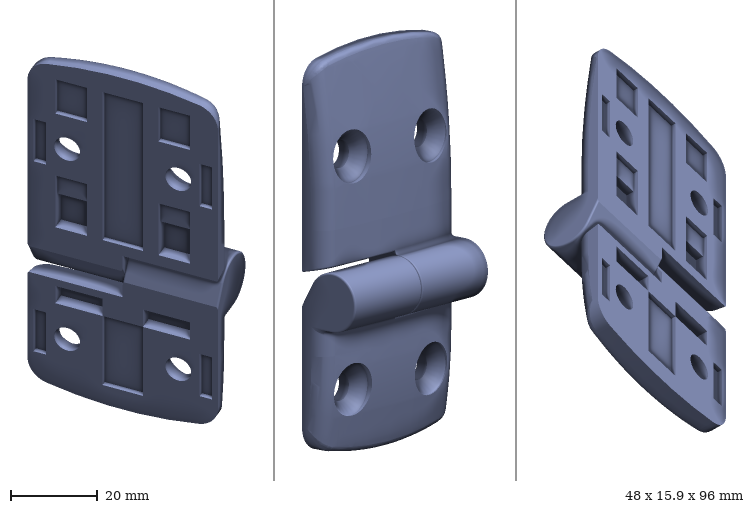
import cadquery as cq
import math


TOTAL_LENGTH = 96.0
TOTAL_DEPTH = 15.9

HALF_WIDTH = 24.0
UPPER_LENGTH = 57.5
LOWER_LENGTH = TOTAL_LENGTH - UPPER_LENGTH
END_ARC_RADIUS = 99.8
CORNER_RADIUS = 6.0
END_ROUND = 1.4

CROWN_HEIGHT = 7.9
CROWN_CROSS_RADIUS = 201.6
SIDE_ROUND = 4.0
UPPER_FLAT_END = 16.3
UPPER_SLOPE_RADIUS = 232.3
LOWER_FLAT_END = 13.4
LOWER_SLOPE_RADIUS = 126.7

KNUCKLE_RADIUS = 7.0
AXIS_Y = TOTAL_DEPTH - KNUCKLE_RADIUS
KNUCKLE_FOOT = 1.5
KNUCKLE_ROUND = 0.5
NECK_ROUND = 1.2

RECESS_START = 6.0
RECESS_DEGREES = 13.0
RECESS_ANGLE = math.radians(RECESS_DEGREES)
RECESS_ROUND = 0.5

HOLE_X = 14.0
UPPER_HOLE_Z = 32.5
LOWER_HOLE_Z = 22.5
HOLE_DIAMETER = 6.5
SINK_DIAMETER = 12.6
SINK_FLOOR = 3.0

SHALLOW = 1.2
DEEP = 3.3
SLOT_HALF_WIDTH = 5.1
WINDOW_INNER = 9.0
WINDOW_OUTER = 17.0
SIDE_SLOT_INNER = 19.4
SIDE_SLOT_OUTER = 22.5
SIDE_SLOT_LENGTH = 12.2
UPPER_SLOT_START = 9.0
UPPER_SLOT_END = 51.8
UPPER_WINDOW_START = 42.0
LOWER_WINDOW_END = 24.0
WINDOW_STEP = 18.0
LOWER_SLOT_START = 13.0
LOWER_SLOT_END = 32.9
SIDE_POCKET_START = 8.0

END_ZONE = 8.6
MARGIN = 0.1


def outline(length):
    """Plate outline: straight sides, an arched end and rounded corners."""
    arc_center_z = length - END_ARC_RADIUS
    corner_x = HALF_WIDTH - CORNER_RADIUS
    reach = END_ARC_RADIUS - CORNER_RADIUS
    corner_z = arc_center_z + math.sqrt(reach**2 - corner_x**2)
    lean = math.asin(corner_x / reach)
    tangent_x = END_ARC_RADIUS * math.sin(lean)
    tangent_z = arc_center_z + END_ARC_RADIUS * math.cos(lean)
    middle = (math.pi / 2 - lean) / 2
    middle_x = corner_x + CORNER_RADIUS * math.cos(middle)
    middle_z = corner_z + CORNER_RADIUS * math.sin(middle)
    return (
        cq.Workplane("XZ")
        .moveTo(-HALF_WIDTH, RECESS_START)
        .lineTo(HALF_WIDTH, RECESS_START)
        .lineTo(HALF_WIDTH, corner_z)
        .threePointArc((middle_x, middle_z), (tangent_x, tangent_z))
        .threePointArc((0, length), (-tangent_x, tangent_z))
        .threePointArc((-middle_x, middle_z), (-HALF_WIDTH, corner_z))
        .close()
    )


def crown_section(z):
    """Cross-section of the crowned plate at height z, with its sides rounded over."""
    center_y = CROWN_HEIGHT - CROWN_CROSS_RADIUS
    round_x = HALF_WIDTH - SIDE_ROUND
    reach = CROWN_CROSS_RADIUS - SIDE_ROUND
    round_y = center_y + math.sqrt(reach**2 - round_x**2)
    lean = math.asin(round_x / reach)
    tangent_x = CROWN_CROSS_RADIUS * math.sin(lean)
    tangent_y = center_y + CROWN_CROSS_RADIUS * math.cos(lean)
    middle = (math.pi / 2 - lean) / 2
    middle_x = round_x + SIDE_ROUND * math.cos(middle)
    middle_y = round_y + SIDE_ROUND * math.sin(middle)
    return (
        cq.Workplane("XY", origin=(0, 0, z))
        .moveTo(-HALF_WIDTH, -CROWN_HEIGHT)
        .lineTo(HALF_WIDTH, -CROWN_HEIGHT)
        .lineTo(HALF_WIDTH, round_y)
        .threePointArc((middle_x, middle_y), (tangent_x, tangent_y))
        .threePointArc((0, CROWN_HEIGHT), (-tangent_x, tangent_y))
        .threePointArc((-middle_x, middle_y), (-HALF_WIDTH, round_y))
        .close()
    )


def plate(length, flat_end, slope_radius):
    """Plate with a crowned front that is level near the knuckle and curves down to a rounded end."""
    turn_y = CROWN_HEIGHT - slope_radius
    turn = math.degrees(math.atan((length - flat_end) / -turn_y))
    straight = crown_section(0).extrude(flat_end)
    sloping = crown_section(flat_end).revolve(turn, (0, turn_y, 0), (1, turn_y, 0))
    body = outline(length).extrude(-CROWN_HEIGHT).intersect(straight.union(sloping))
    end_zone = cq.selectors.BoxSelector(
        (-HALF_WIDTH, MARGIN, length - END_ZONE), (HALF_WIDTH, CROWN_HEIGHT, length + MARGIN)
    )
    return body.edges(end_zone).fillet(END_ROUND)


def recess():
    """Space below a sloping plane over the half of the leaf that faces the other knuckle."""
    climb = TOTAL_DEPTH * math.tan(RECESS_ANGLE)
    return (
        cq.Workplane("YZ")
        .moveTo(0, 0)
        .lineTo(0, RECESS_START)
        .lineTo(TOTAL_DEPTH, RECESS_START + climb)
        .lineTo(TOTAL_DEPTH, 0)
        .close()
        .extrude(HALF_WIDTH)
    )


def knuckle():
    """Round barrel joined to the mounting plane by two tangent planes, with rounded rims."""
    foot_distance = math.hypot(AXIS_Y, KNUCKLE_FOOT)
    foot_angle = math.atan2(KNUCKLE_FOOT, -AXIS_Y)
    tangent_angle = foot_angle + math.acos(KNUCKLE_RADIUS / foot_distance)
    tangent_y = AXIS_Y + KNUCKLE_RADIUS * math.cos(tangent_angle)
    tangent_z = KNUCKLE_RADIUS * math.sin(tangent_angle)
    barrel = (
        cq.Workplane("YZ")
        .moveTo(0, KNUCKLE_FOOT)
        .lineTo(0, KNUCKLE_RADIUS)
        .lineTo(AXIS_Y, KNUCKLE_RADIUS)
        .threePointArc((AXIS_Y + KNUCKLE_RADIUS, 0), (tangent_y, tangent_z))
        .close()
        .extrude(-HALF_WIDTH)
    )
    return barrel.faces("<X or >X").edges("not <Y").fillet(KNUCKLE_ROUND)


def screw_hole(x, z):
    """Through hole with a countersink opening to the crowned front."""
    hole_radius = HOLE_DIAMETER / 2
    sink_radius = SINK_DIAMETER / 2
    sink_top = SINK_FLOOR + sink_radius - hole_radius
    return (
        cq.Workplane("YZ", origin=(x, 0, z))
        .lineTo(0, -hole_radius)
        .lineTo(SINK_FLOOR, -hole_radius)
        .lineTo(sink_top, -sink_radius)
        .lineTo(AXIS_Y, -sink_radius)
        .lineTo(AXIS_Y, 0)
        .close()
        .revolve(360, (0, 0, 0), (1, 0, 0))
    )


def pocket(x_start, x_end, z_start, z_end, depth):
    """Rectangular pocket sunk into the mounting face."""
    return (
        cq.Workplane("XZ")
        .moveTo((x_start + x_end) / 2, (z_start + z_end) / 2)
        .rect(x_end - x_start, z_end - z_start)
        .extrude(-depth)
    )


def blank_leaf(length, flat_end, slope_radius):
    """Plate and knuckle in one piece, without holes and pockets."""
    recess_face = cq.selectors.ParallelDirSelector(
        cq.Vector(0, -math.sin(RECESS_ANGLE), math.cos(RECESS_ANGLE))
    )
    recess_zone = cq.selectors.BoxSelector(
        (MARGIN, MARGIN, RECESS_START),
        (HALF_WIDTH + MARGIN, AXIS_Y, KNUCKLE_RADIUS + NECK_ROUND),
    )
    neck_zone = cq.selectors.BoxSelector(
        (-HALF_WIDTH, MARGIN, KNUCKLE_RADIUS - MARGIN),
        (MARGIN, AXIS_Y - MARGIN, KNUCKLE_RADIUS + MARGIN),
    )
    body = plate(length, flat_end, slope_radius).cut(recess())
    body = body.faces(recess_face).edges(recess_zone).fillet(RECESS_ROUND)
    body = knuckle().union(body)
    return body.edges(neck_zone).edges("%CIRCLE").fillet(NECK_ROUND)


def leaf(blank, hole_z, center_slot, side_pockets):
    """Cuts the holes and pockets into a blank leaf.

    center_slot is (start, end) in Z; each side pocket is (inner X, outer X, start Z, end Z, depth).
    """
    body = blank
    slot_start, slot_end = center_slot
    body = body.cut(pocket(-SLOT_HALF_WIDTH, SLOT_HALF_WIDTH, slot_start, slot_end, SHALLOW))
    side_slot = (
        SIDE_SLOT_INNER,
        SIDE_SLOT_OUTER,
        hole_z - SIDE_SLOT_LENGTH / 2,
        hole_z + SIDE_SLOT_LENGTH / 2,
        SHALLOW,
    )
    for side in (-1, 1):
        body = body.cut(screw_hole(side * HOLE_X, hole_z))
        for inner, outer, start, end, depth in [side_slot, *side_pockets]:
            x_start, x_end = sorted((side * inner, side * outer))
            body = body.cut(pocket(x_start, x_end, start, end, depth))
    return body.solids()


upper_leaf = leaf(
    blank_leaf(UPPER_LENGTH, UPPER_FLAT_END, UPPER_SLOPE_RADIUS),
    UPPER_HOLE_Z,
    (UPPER_SLOT_START, UPPER_SLOT_END),
    [
        (WINDOW_INNER, WINDOW_OUTER, UPPER_WINDOW_START, UPPER_SLOT_END, SHALLOW),
        (WINDOW_INNER, WINDOW_OUTER, WINDOW_STEP, LOWER_WINDOW_END, SHALLOW),
        (WINDOW_INNER, WINDOW_OUTER, UPPER_SLOT_START, WINDOW_STEP, DEEP),
    ],
)
lower_leaf = leaf(
    blank_leaf(LOWER_LENGTH, LOWER_FLAT_END, LOWER_SLOPE_RADIUS),
    LOWER_HOLE_Z,
    (LOWER_SLOT_START, LOWER_SLOT_END),
    [(SLOT_HALF_WIDTH, WINDOW_OUTER, SIDE_POCKET_START, LOWER_SLOT_START, DEEP)],
).rotate((0, 0, 0), (0, 1, 0), 180)

result = cq.Compound.makeCompound([upper_leaf.val(), lower_leaf.val()])